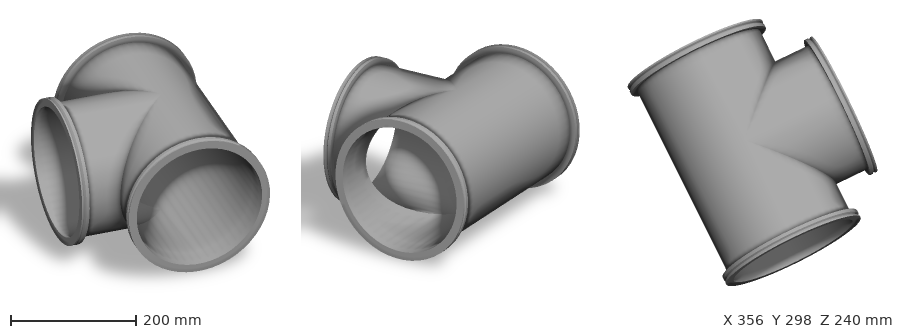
import cadquery as cq

ARM_LENGTH = 178.0
PIPE_RADIUS = 219.0 / 2
BORE_RADIUS = 213.0 / 2

FLANGE_RADIUS = 240.0 / 2
FLANGE_WIDTH = 12.8

GROOVE_OFFSET = 2.5
GROOVE_WIDTH = 5.0
GROOVE_DEPTH = 2.5

LEFT = (-1, 0, 0)
RIGHT = (1, 0, 0)
FRONT = (0, -1, 0)
UP = cq.Vector(0, 0, 1)


def arm_plane(direction):
    """Plane through the crossing of the axes, with its normal along the arm."""
    return cq.Plane(origin=(0, 0, 0), xDir=UP, normal=direction)


def flanged_arm(direction):
    """Solid arm revolved about its axis, ending in a flange with a grooved rim."""
    groove_outer = ARM_LENGTH - GROOVE_OFFSET
    groove_middle = groove_outer - GROOVE_WIDTH / 2
    groove_inner = groove_outer - GROOVE_WIDTH
    flange_back = ARM_LENGTH - FLANGE_WIDTH
    profile_normal = UP.cross(cq.Vector(direction))
    profile_plane = cq.Plane(origin=(0, 0, 0), xDir=UP, normal=profile_normal)
    return (
        cq.Workplane(profile_plane)
        .moveTo(0, 0)
        .lineTo(PIPE_RADIUS, 0)
        .lineTo(PIPE_RADIUS, flange_back)
        .lineTo(FLANGE_RADIUS, flange_back)
        .lineTo(FLANGE_RADIUS, groove_inner)
        .lineTo(FLANGE_RADIUS - GROOVE_DEPTH, groove_middle)
        .lineTo(FLANGE_RADIUS, groove_outer)
        .lineTo(FLANGE_RADIUS, ARM_LENGTH)
        .lineTo(0, ARM_LENGTH)
        .close()
        .revolve(360, (0, 0), (0, 1))
    )


def bore(direction):
    """Cylinder that hollows a pipe, starting at the crossing of the axes."""
    return cq.Workplane(arm_plane(direction)).circle(BORE_RADIUS).extrude(ARM_LENGTH)


body = flanged_arm(LEFT).union(flanged_arm(RIGHT)).union(flanged_arm(FRONT))

run_bore = bore(RIGHT).union(bore(LEFT))
branch_bore = bore(FRONT)

result = body.cut(run_bore).cut(branch_bore)